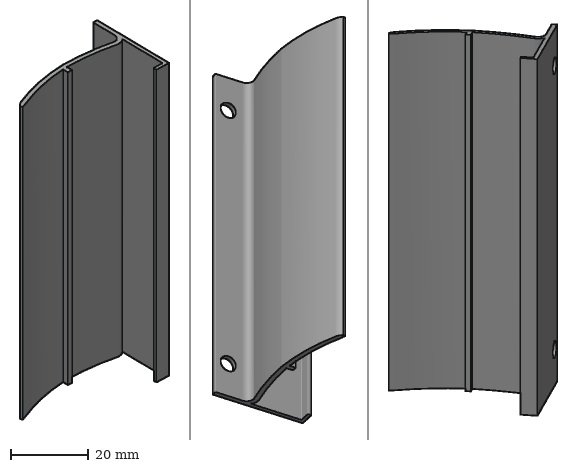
import cadquery as cq
import math

length = 98.4
flange_width = 27.1
depth = 41.7

flange_thickness = 1.5
lip_side_thickness = 1.3
lip_thickness = 1.1
lip_drop = 4.5
edge_radius = 0.2

web_thickness = 1.5
bend_radius = 2.2
bend_start_x = 8.1
web_middle_x = 8.7
web_middle_y = -20.5
upper_bulge = 0.5
tip_start = (13.5, -40.0)
lower_bulge = 0.9
tip_point = (14.9, -depth)
tip_round = (14.1, -41.0)
tip_corner = (15.5, -41.5)
inner_tip_start = (15.1, -40.0)
inner_bulge = 0.9

rib_end_x = 12.1
rib_center_y = -21.3
rib_thickness = 1.5

hole_diameter = 4.5
hole_x = 3.8
hole_end_distance = 10.0


def between(start, end, bulge):
    """Point beside the middle of a chord, offset by bulge to the right of travel."""
    run = end[0] - start[0]
    rise = end[1] - start[1]
    chord = math.hypot(run, rise)
    middle_x = (start[0] + end[0]) / 2 + bulge * rise / chord
    middle_y = (start[1] + end[1]) / 2 - bulge * run / chord
    return (middle_x, middle_y)


def make_flange():
    """Flat flange and its lip, as an L-shaped section."""
    outline = (
        cq.Workplane("XY")
        .moveTo(0, 0)
        .lineTo(flange_width, 0)
        .lineTo(flange_width, -lip_drop)
        .lineTo(flange_width - lip_thickness, -lip_drop)
        .lineTo(flange_width - lip_thickness, -lip_side_thickness)
        .lineTo(bend_start_x, -lip_side_thickness)
        .lineTo(bend_start_x, -flange_thickness)
        .lineTo(0, -flange_thickness)
        .close()
    )
    lip_inner_x = flange_width - lip_thickness
    flange = outline.extrude(length)
    for x, y in (
        (0, -flange_thickness),
        (lip_inner_x, -lip_side_thickness),
        (lip_inner_x, -lip_drop),
    ):
        corner = cq.selectors.NearestToPointSelector((x, y, length / 2))
        flange = flange.edges(corner).fillet(edge_radius)
    return flange


def make_web():
    """Web that leaves the flange in a concentric bend and sweeps down in an S."""
    bend_y = -flange_thickness - bend_radius
    outer_radius = bend_radius + web_thickness
    diagonal = math.sqrt(0.5)

    bend_start = (bend_start_x, -flange_thickness)
    bend_middle = (bend_start_x + bend_radius * diagonal, bend_y + bend_radius * diagonal)
    bend_end = (bend_start_x + bend_radius, bend_y)
    web_middle = (web_middle_x, web_middle_y)
    inner_middle = (web_middle_x + web_thickness, web_middle_y)
    inner_bend_end = (bend_start_x + outer_radius, bend_y)
    inner_bend_middle = (bend_start_x + outer_radius * diagonal, bend_y + outer_radius * diagonal)
    inner_bend_start = (bend_start_x, bend_y + outer_radius)

    outline = (
        cq.Workplane("XY")
        .moveTo(*bend_start)
        .threePointArc(bend_middle, bend_end)
        .threePointArc(between(bend_end, web_middle, upper_bulge), web_middle)
        .threePointArc(between(web_middle, tip_start, lower_bulge), tip_start)
        .threePointArc(tip_round, tip_point)
        .lineTo(*tip_corner)
        .lineTo(*inner_tip_start)
        .threePointArc(between(inner_middle, inner_tip_start, inner_bulge), inner_middle)
        .threePointArc(between(inner_middle, inner_bend_end, -upper_bulge), inner_bend_end)
        .threePointArc(inner_bend_middle, inner_bend_start)
        .close()
    )
    return outline.extrude(length)


def make_rib():
    """Straight rib, rooted at mid-thickness of the web."""
    root_x = web_middle_x + web_thickness / 2
    return (
        cq.Workplane("XY")
        .center((root_x + rib_end_x) / 2, rib_center_y)
        .rect(rib_end_x - root_x, rib_thickness)
        .extrude(length)
    )


def make_holes():
    """Cutters for the two holes through the left side of the flange."""
    return (
        cq.Workplane("XZ")
        .pushPoints([(hole_x, hole_end_distance), (hole_x, length - hole_end_distance)])
        .circle(hole_diameter / 2)
        .extrude(flange_thickness)
    )


result = make_flange().union(make_web()).union(make_rib()).cut(make_holes())